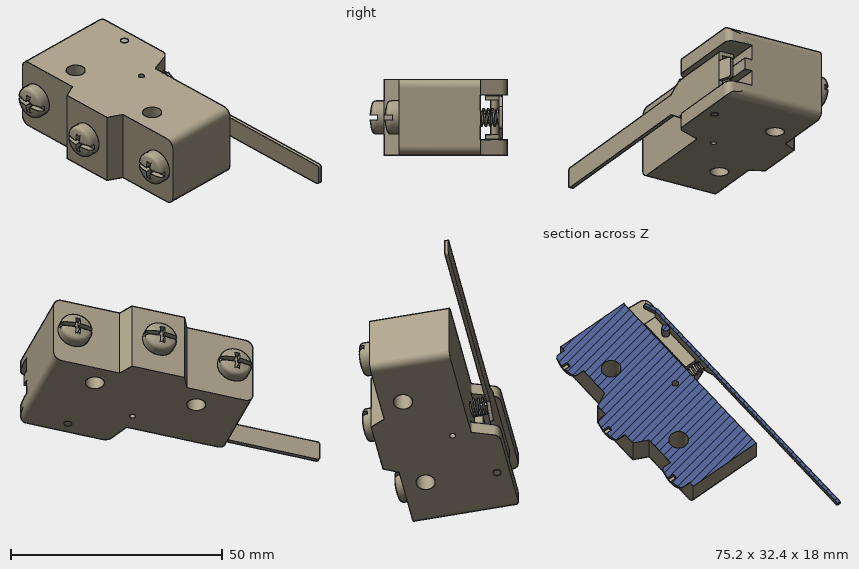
import cadquery as cq
import math


total_length = 75.2

case_length = 50.0
case_width = 18.0
case_mid_x = case_length / 2
edge_radius = 2.0
shelf_y = 19.25
crown_y = 25.65

end_taper_start_y = 21.2
end_taper_top_y = 23.8
end_taper_depth = 0.2
housing_slope_top_x = 22.7
housing_slope_foot_x = 25.1
housing_end_radius = 1.8
housing_crown_radius = 2.1
housing_foot_radius = 0.6
lever_slot_width = 10.5

boss_height = 3.5
boss_base_length = 16.85
boss_tip_length = 13.2

mount_hole_diameter = 4.5
mount_hole_spacing = 25.4
mount_hole_y = 5.5
vent_diameter = 1.4
vent_y = 14.75

screw_spacing = 20.0
screw_diameter = 7.9
screw_height = 3.3
screw_rim_height = 1.8
screw_shoulder_radius = 1.05
screw_slot_width = 1.1
screw_slot_depth = 1.7
screw_cross_length = 4.35

sheet = 0.9
lever_outer_y = 24.5
lever_inner_y = lever_outer_y - sheet
lever_width = 5.2
lever_tip_radius = 0.75
channel_width = 10.2
channel_corner_radius = 0.6
channel_start_x = 6.4
flange_end_x = 21.8
flange_thickness = 1.05
flange_foot_y = 20.45
neck_start_x = 24.3
neck_end_x = 28.35
tongue_length = 3.45
tongue_angle = 20.0
tongue_corner_radius = 0.45

pin_diameter = 1.9
pin_x = 11.6
pin_y = 22.6
pin_recess = 0.1

rib_length = 21.05
rib_width = 2.9
rib_top_y = 21.2

spring_outer_diameter = 4.3
spring_wire_diameter = 0.45
spring_pitch = 1.05


def slab(outline, width):
    """Extrude an XY outline symmetrically about Z = 0."""
    return outline.extrude(width / 2, both=True)


def make_case():
    profile = slab(
        cq.Workplane("XY")
        .moveTo(case_mid_x - boss_base_length / 2, 0)
        .lineTo(case_mid_x - boss_tip_length / 2, -boss_height)
        .lineTo(case_mid_x + boss_tip_length / 2, -boss_height)
        .lineTo(case_mid_x + boss_base_length / 2, 0)
        .lineTo(case_length, 0)
        .lineTo(case_length, shelf_y)
        .lineTo(housing_slope_foot_x, shelf_y)
        .lineTo(housing_slope_top_x, crown_y)
        .lineTo(end_taper_depth, crown_y)
        .lineTo(end_taper_depth, end_taper_top_y)
        .lineTo(0, end_taper_start_y)
        .lineTo(0, 0)
        .close(),
        case_width,
    )

    def round_corner(body, x, y, radius):
        corner = cq.selectors.NearestToPointSelector((x, y, 0))
        return body.edges("|Z").edges(corner).fillet(radius)

    profile = round_corner(profile, housing_slope_foot_x, shelf_y, housing_foot_radius)
    profile = round_corner(profile, housing_slope_top_x, crown_y, housing_crown_radius)
    profile = round_corner(profile, end_taper_depth, crown_y, housing_end_radius)

    envelope_depth = crown_y + boss_height
    envelope = (
        cq.Workplane("XY")
        .box(case_length, envelope_depth, case_width)
        .edges("|Y")
        .fillet(edge_radius)
        .translate((case_mid_x, envelope_depth / 2 - boss_height, 0))
    )
    case = profile.intersect(envelope)

    lever_slot = slab(
        cq.Workplane("XY").moveTo(0, shelf_y).rect(case_length, crown_y, centered=False),
        lever_slot_width,
    )
    mount_holes = slab(
        cq.Workplane("XY")
        .pushPoints([(case_mid_x + side * mount_hole_spacing / 2, mount_hole_y) for side in (-1, 1)])
        .circle(mount_hole_diameter / 2),
        case_width,
    )
    vent = slab(cq.Workplane("XY").center(case_mid_x, vent_y).circle(vent_diameter / 2), case_width)
    rib = slab(
        cq.Workplane("XY").moveTo(0, shelf_y).rect(rib_length, rib_top_y - shelf_y, centered=False),
        rib_width,
    )
    return case.cut(lever_slot).union(rib).cut(mount_holes).cut(vent)


def make_screw(x, seat_y):
    """Round-headed terminal screw with a full slot along X and a short cross slot along Z."""
    crown_rise = screw_height - screw_rim_height
    shoulder_center_r = screw_diameter / 2 - screw_shoulder_radius
    dome_radius = (shoulder_center_r**2 + crown_rise**2 - screw_shoulder_radius**2) / (
        2 * (crown_rise - screw_shoulder_radius)
    )
    dome_angle = math.asin(shoulder_center_r / (dome_radius - screw_shoulder_radius))
    dome_edge_r = dome_radius * math.sin(dome_angle)
    dome_edge_height = screw_height - dome_radius * (1 - math.cos(dome_angle))
    head = (
        cq.Workplane("XY", origin=(x, seat_y, 0))
        .lineTo(screw_diameter / 2, 0)
        .lineTo(screw_diameter / 2, -screw_rim_height)
        .radiusArc((dome_edge_r, -dome_edge_height), screw_shoulder_radius)
        .radiusArc((0, -screw_height), dome_radius)
        .close()
        .revolve(360, (0, 0, 0), (0, 1, 0))
    )
    slot_y = seat_y - screw_height + screw_slot_depth / 2
    slot = cq.Workplane("XY").box(screw_diameter, screw_slot_depth, screw_slot_width)
    cross = cq.Workplane("XY").box(screw_slot_width, screw_slot_depth, screw_cross_length)
    return head.cut(slot.union(cross).translate((x, slot_y, 0)))


def make_lever():
    channel_length = neck_start_x - channel_start_x
    channel_depth = lever_outer_y - flange_foot_y
    channel = slab(
        cq.Workplane("XY")
        .moveTo(channel_start_x, flange_foot_y)
        .rect(channel_length, channel_depth, centered=False),
        channel_width,
    )
    channel = channel.edges("|X and >Y").fillet(channel_corner_radius)
    opening = slab(
        cq.Workplane("XY")
        .moveTo(channel_start_x, flange_foot_y)
        .rect(channel_length, channel_depth - sheet, centered=False),
        channel_width - 2 * flange_thickness,
    )
    flange_cutback = slab(
        cq.Workplane("XY")
        .moveTo(flange_end_x, flange_foot_y)
        .rect(channel_length, channel_depth - sheet, centered=False),
        channel_width,
    )
    channel = channel.cut(opening).cut(flange_cutback)

    arm = (
        cq.Workplane("XZ", origin=(0, lever_outer_y, 0))
        .moveTo(neck_start_x, -channel_width / 2)
        .lineTo(neck_end_x, -lever_width / 2)
        .lineTo(total_length, -lever_width / 2)
        .lineTo(total_length, lever_width / 2)
        .lineTo(neck_end_x, lever_width / 2)
        .lineTo(neck_start_x, channel_width / 2)
        .close()
        .extrude(sheet)
        .edges("|Y and >X")
        .fillet(lever_tip_radius)
    )

    tongue = (
        cq.Workplane("XY")
        .box(tongue_length, sheet, lever_width)
        .edges("|Y and <X")
        .fillet(tongue_corner_radius)
        .translate((channel_start_x - tongue_length / 2, lever_outer_y - sheet / 2, 0))
        .rotate((channel_start_x, lever_outer_y, 0), (channel_start_x, lever_outer_y, 1), tongue_angle)
    )
    return channel.union(arm).union(tongue)


def make_pin(length):
    return slab(cq.Workplane("XY").center(pin_x, pin_y).circle(pin_diameter / 2), length)


def make_spring():
    """Coil standing on the shelf, its last turn meeting the inner face of the lever."""
    coil_radius = (spring_outer_diameter - spring_wire_diameter) / 2
    path = cq.Wire.makeHelix(spring_pitch, lever_inner_y - shelf_y, coil_radius)
    coil = (
        cq.Workplane("XZ", origin=(coil_radius, 0, 0))
        .circle(spring_wire_diameter / 2)
        .sweep(cq.Workplane(path), isFrenet=True)
    )
    return coil.rotate((0, 0, 0), (1, 0, 0), -90).translate((case_mid_x, shelf_y, 0))


pin = make_pin(case_width - 2 * pin_recess)
case = make_case().cut(make_pin(case_width))

result = case.union(make_spring()).union(make_lever()).union(pin)

for x, seat_y in (
    (case_mid_x - screw_spacing, 0),
    (case_mid_x, -boss_height),
    (case_mid_x + screw_spacing, 0),
):
    result = result.union(make_screw(x, seat_y))